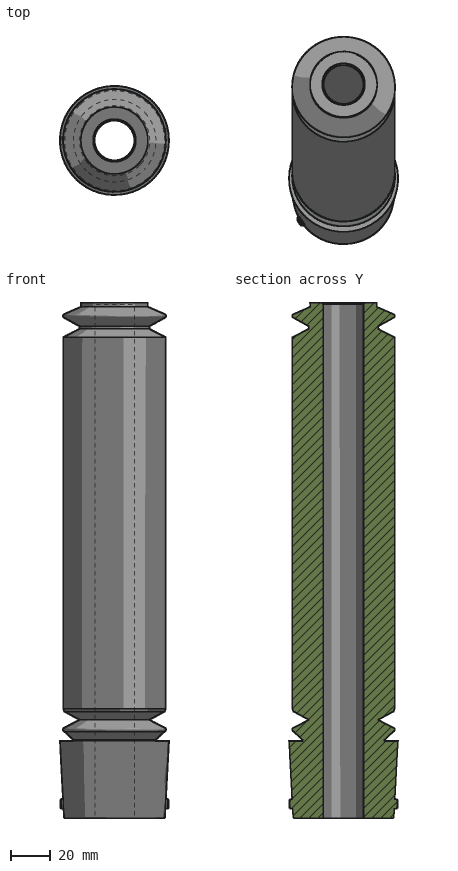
import cadquery as cq

height = 261.0
body_radius = 52.0 / 2
neck_radius = 17.8

cup_height = 39.2
cup_top_radius = 27.7
cup_bottom_radius = 25.5
cup_edge_fillet = 0.8

seat_radius = 21.0
seat_height = 0.5
lower_bead_z = 44.5
lower_neck_z = 49.9
body_bottom_z = 54.0
body_top_z = 243.5
upper_neck_bottom_z = 247.7
upper_neck_top_z = 249.0
upper_bead_z = 253.7
bead_rim_radius = 25.3
bead_rim_rise = 1.5
bead_rim_drop = 0.5
body_edge_height = 1.3
body_edge_inset = 0.5

collar_radius = 34.0 / 2
collar_height = 2.0
bore_diameter = 20.0
bore_chamfer = 0.8

pin_diameter = 5.0
pin_z = 7.3
pin_reach = 27.5
pin_chamfer = 0.5


def make_cup():
    """Solid cone that widens upward, with a softened lower edge."""
    cup = (
        cq.Workplane("XZ")
        .polyline([
            (0, 0),
            (cup_bottom_radius, 0),
            (cup_top_radius, cup_height),
            (0, cup_height),
        ])
        .close()
        .revolve(360, (0, 0, 0), (0, 1, 0))
    )
    return cup.faces("<Z").edges().fillet(cup_edge_fillet)


def add_bead_rim(outline, middle_z):
    """Continue an upward-running outline around a bead's rounded rim."""
    return outline.lineTo(bead_rim_radius, middle_z - bead_rim_drop).threePointArc(
        (body_radius, middle_z),
        (bead_rim_radius, middle_z + bead_rim_rise),
    )


def make_body():
    """Long cylinder with a conical bead and a narrow neck at each end."""
    outline = (
        cq.Workplane("XZ")
        .moveTo(0, cup_height)
        .lineTo(seat_radius, cup_height)
        .lineTo(seat_radius, cup_height + seat_height)
    )
    outline = add_bead_rim(outline, lower_bead_z)
    outline = (
        outline
        .lineTo(neck_radius, lower_neck_z)
        .lineTo(body_radius - body_edge_inset, body_bottom_z)
        .lineTo(body_radius, body_bottom_z + body_edge_height)
        .lineTo(body_radius, body_top_z)
        .lineTo(neck_radius, upper_neck_bottom_z)
        .lineTo(neck_radius, upper_neck_top_z)
    )
    outline = add_bead_rim(outline, upper_bead_z)
    body = (
        outline
        .lineTo(collar_radius, height - collar_height)
        .lineTo(collar_radius, height)
        .lineTo(0, height)
        .close()
        .revolve(360, (0, 0, 0), (0, 1, 0))
    )
    return body


def make_pin(side):
    """Radial pin with a chamfered tip; side is +1 or -1 along X."""
    pin = (
        cq.Workplane("YZ")
        .center(0, pin_z)
        .circle(pin_diameter / 2)
        .extrude(side * pin_reach)
    )
    tip = ">X" if side > 0 else "<X"
    return pin.faces(tip).edges().chamfer(pin_chamfer)


result = make_cup().union(make_body())
for side in (-1, 1):
    result = result.union(make_pin(side))

result = result.faces(">Z").workplane(origin=(0, 0, height)).hole(bore_diameter)
bore_mouth = result.faces(">Z").edges(cq.selectors.RadiusNthSelector(0))
result = bore_mouth.chamfer(bore_chamfer)